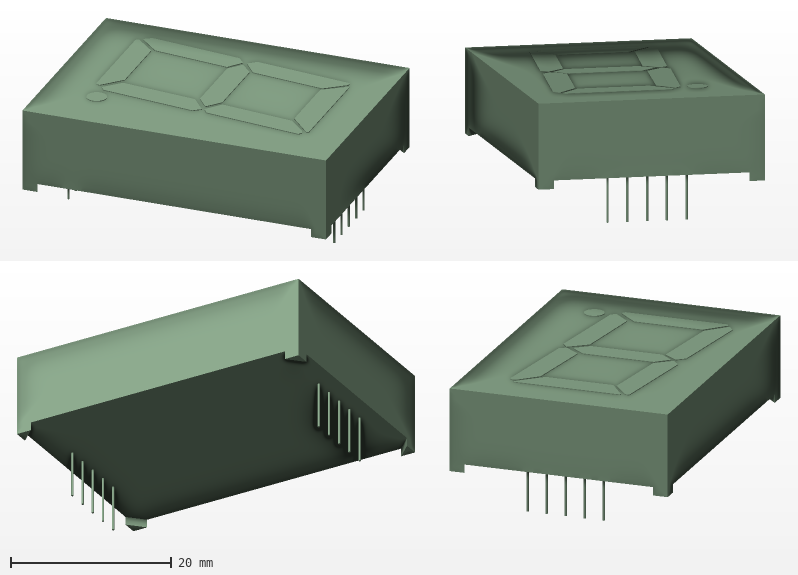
import cadquery as cq

length = 40.65
width = 29.0
height = 16.0

housing_height = 11.0
foot_size = 2.0
foot_height = 1.1

pin_diameter = 0.3
pins_per_row = 5
row_spacing = 35.55
pitches_between_rows = 14
pin_pitch = row_spacing / pitches_between_rows

pad_height = 0.1
dot_diameter = 2.6
dot_center = (-13.05, -7.55)

foot_z = height - housing_height
underside_z = foot_z + foot_height
face_z = height - pad_height

segment_outlines = [
    [
        (-14.5, 9.67), (-14.1, 9.9), (-11.55, 7.45), (-11.55, -1.7),
        (-13.9, -4.23), (-14.25, -4.23), (-14.5, -3.95),
    ],
    [
        (0.65, 7.72), (2.2, 5.97), (2.2, -3.5),
        (0.65, -5.35), (-0.8, -3.5), (-0.8, 5.97),
    ],
    [
        (15.1, 6.35), (15.4, 6.35), (15.4, -7.8),
        (15.08, -7.8), (12.27, -4.67), (12.27, 4.3),
    ],
    [
        (-13.6, 10.32), (-12.7, 10.95), (-0.45, 9.35), (0.45, 8.25),
        (-0.98, 6.4), (-11.15, 7.7), (-13.6, 10.08),
    ],
    [
        (2.05, 9.15), (15.0, 7.48), (15.1, 7.27), (15.05, 6.85),
        (12.4, 4.8), (2.6, 6.05), (0.98, 8.2),
    ],
    [
        (-11.4, -2.6), (-1.35, -3.8), (0.53, -6.25),
        (-0.45, -7.05), (-13.0, -5.4), (-13.5, -4.75),
    ],
    [
        (2.45, -4.05), (12.25, -5.35), (14.43, -7.65), (14.67, -8.25),
        (14.4, -8.7), (1.4, -7.0), (0.8, -6.15),
    ],
]


def make_housing():
    """Plain block with a three-sided foot filling each corner of its outline."""
    block = cq.Workplane("XY").workplane(offset=underside_z).rect(length, width)
    housing = block.extrude(face_z - underside_z)
    for x_side in (-1, 1):
        for y_side in (-1, 1):
            corner_x = x_side * length / 2
            corner_y = y_side * width / 2
            foot_outline = [
                (corner_x, corner_y),
                (corner_x - x_side * foot_size, corner_y),
                (corner_x, corner_y - y_side * foot_size),
            ]
            base = cq.Workplane("XY").workplane(offset=foot_z)
            housing = housing.union(base.polyline(foot_outline).close().extrude(foot_height))
    return housing


def make_pins():
    """Both rows of pins, from their tips up to the underside."""
    pins = cq.Workplane("XY").rarray(row_spacing, pin_pitch, 2, pins_per_row)
    return pins.circle(pin_diameter / 2).extrude(underside_z)


def make_display_pads():
    """Seven segments and the decimal point, standing on the top face."""
    face = cq.Workplane("XY").workplane(offset=face_z)
    pads = face.center(*dot_center).circle(dot_diameter / 2).extrude(pad_height)
    for outline in segment_outlines:
        pads = pads.union(face.polyline(outline).close().extrude(pad_height))
    return pads


result = make_housing().union(make_pins()).union(make_display_pads())